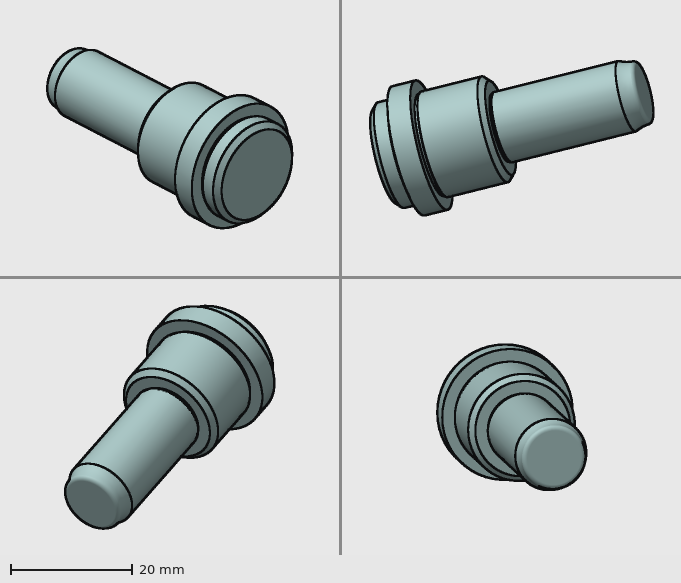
import cadquery as cq
import math

total_length = 45.0
pilot_length = 25.0
tip_length = 3.0
collar_start = 37.0
collar_width = 4.0
collar_end = collar_start + collar_width

pilot_radius = 6.0
body_radius = 9.0
collar_radius = 11.0

body_chamfer = 1.0
pilot_relief_depth = 0.2
collar_relief_depth = 0.3
pilot_relief_width = 0.4
collar_relief_width = 0.55

nose_length = 0.55
nose_radius = 0.8
nose_outer_radius = 5.35
lead_in_sag = 0.14


def cylinder(start, end, radius):
    """Cylinder around the X axis between two axial stations."""
    return cq.Workplane("YZ").workplane(offset=start).circle(radius).extrude(end - start)


def pilot():
    """Pilot shaft with its shaped tip, up to the relief at the body shoulder."""
    relief_start = pilot_length - pilot_relief_width

    end_angle = math.acos((nose_radius - nose_length) / nose_radius)
    nose_centre_r = nose_outer_radius - nose_radius * math.sin(end_angle)
    nose_mid = (
        nose_radius * (1 - math.cos(end_angle / 2)),
        nose_centre_r + nose_radius * math.sin(end_angle / 2),
    )
    return (
        cq.Workplane("XY")
        .lineTo(0, nose_centre_r)
        .threePointArc(nose_mid, (nose_length, nose_outer_radius))
        .sagittaArc((tip_length, pilot_radius), -lead_in_sag)
        .lineTo(relief_start, pilot_radius)
        .lineTo(relief_start, 0)
        .close()
        .revolve(360, (0, 0, 0), (1, 0, 0))
    )


def body():
    """Body cylinder chamfered at both ends."""
    return cylinder(pilot_length, total_length, body_radius).faces("<X or >X").chamfer(body_chamfer)


def collar_relief(start):
    """Shallow ring cut around the body beside the collar."""
    end = start + collar_relief_width
    return cylinder(start, end, collar_radius).cut(cylinder(start, end, body_radius - collar_relief_depth))


pilot_relief = cylinder(pilot_length - pilot_relief_width, pilot_length, pilot_radius - pilot_relief_depth)
collar = cylinder(collar_start, collar_end, collar_radius)

result = pilot().union(pilot_relief).union(body())
for relief_station in (collar_start - collar_relief_width, collar_end):
    result = result.cut(collar_relief(relief_station))
result = result.union(collar)